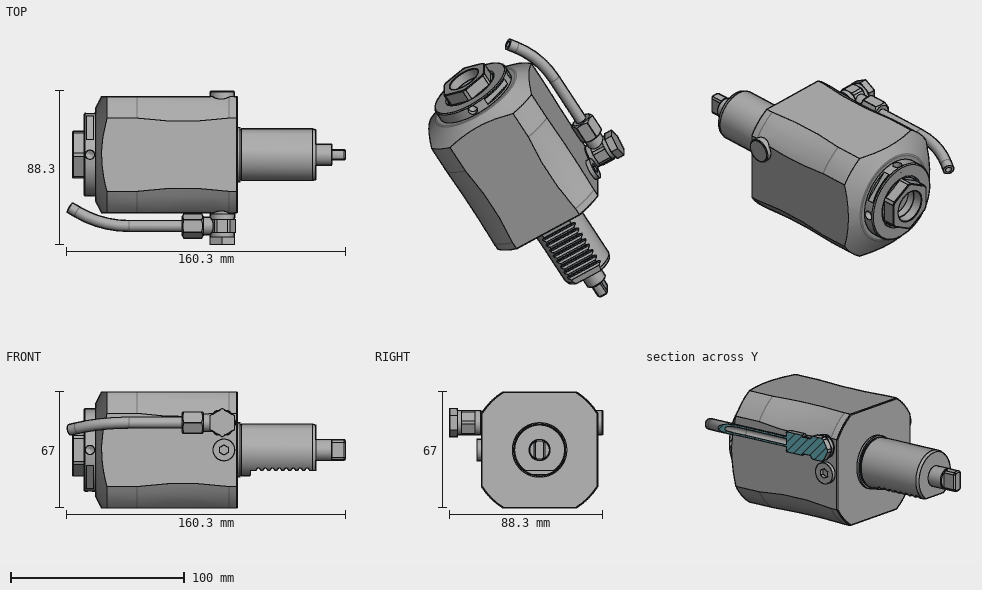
import cadquery as cq
import math


block_side = 67.0
block_front_x = -81.8
nose_radius = 26.8
nose_fillet = 2.1
corner_radius = 39.6
waist_radius = 38.6
cone_end_x = -75.2
waist_start_x = -57.9
waist_end_x = -4.8
rear_chamfer = 0.5

collar_radius = 15.7
collar_end_x = 1.5
undercut_radius = 14.6
undercut_end_x = 2.4
shank_radius = 30.0 / 2
shank_end_x = 45.0
shank_chamfer_length = 2.0
shank_chamfer_depth = 0.6

rack_flat_z = -11.9
rack_flat_start_x = 7.5
rack_step_chamfer = 0.8
tooth_count = 8
tooth_pitch = 4.0
first_groove_x = 12.0
groove_top_width = 3.0
groove_floor_width = 0.8
groove_depth = 1.5

half_side = block_side / 2
port_x = -8.8
port_z = 15.7
port_radius = 7.0
port_root_y = 27.3
rear_plug_y = 36.5
rear_plug_chamfer = 0.5
socket_plug_x = -7.9
socket_plug_radius = 6.3
socket_plug_height = 2.5
socket_corner_radius = 2.9
socket_depth = 2.4

stem_root_radius = 6.5
stem_shoulder_y = -34.2
banjo_near_y = -37.2
banjo_far_y = -44.9
banjo_flat_radius = 7.0
banjo_corner_radius = 7.7
bolt_head_near_y = -47.3
bolt_head_far_y = -51.8
bolt_head_corner_radius = 8.2

pipe_y = (banjo_near_y + banjo_far_y) / 2
neck_radius = 5.1
pipe_nut_start_x = -31.9
pipe_nut_end_x = -19.7
pipe_nut_flat_radius = 12.3 / 2
pipe_nut_round_radius = 7.0
pipe_nut_chamfer_length = 1.0
pipe_nut_face_radius = 5.5
pipe_radius = 3.2
pipe_bore_radius = 1.8
pipe_bend_x = -62.5
pipe_bend_radius = 55.2
pipe_bend_angle = 32.5
pipe_tilt = 21.0
pipe_front_x = -98.1

flange_front_x = -88.3
flange_radius = 23.9
flange_chamfer = 0.6
recess_radius = 16.2
recess_depth = 2.4
pin_hole_radius = 5.3 / 2
pin_hole_depth = 4.0
pin_hole_tip_depth = 1.6
pin_hole_x = -85.0
flat_front_x = -86.9
flat_back_x = -83.0
flat_distance = 22.0
hex_front_x = -95.0
hex_shoulder_x = -87.9
hex_flat_radius = 27.1 / 2
hex_round_radius = 15.0
hex_chamfer = 0.5
bore_radius = 9.5
bore_chamfer = 0.3
bore_step_depth = 6.0
bore_inner_radius = 9.1
bore_depth = 10.5
shaft_radius = 6.1
shaft_end_x = 54.5
tang_end_x = 62.2
tang_thickness = 6.3
tang_chamfer = 0.8
shaft_chamfer = 0.5


def x_rod(start_x, end_x, radius, y=0.0, z=0.0):
    """Round rod along X."""
    return cq.Workplane("YZ", origin=(start_x, y, z)).circle(radius).extrude(end_x - start_x)


def y_rod(start_y, end_y, radius, x, z):
    """Round rod along Y."""
    return cq.Workplane("XZ", origin=(x, start_y, z)).circle(radius).extrude(start_y - end_y)


def hexagon(flat_radius, first_angle):
    """Corner points of a hexagon; first_angle is the direction of one corner."""
    corner = flat_radius / math.cos(math.pi / 6)
    angles = [math.radians(first_angle + 60 * i) for i in range(6)]
    return [(corner * math.cos(a), corner * math.sin(a)) for a in angles]


def x_hex(start_x, end_x, flat_radius, first_angle, y=0.0, z=0.0):
    """Hexagonal bar along X."""
    plane = cq.Workplane("YZ", origin=(start_x, y, z))
    return plane.polyline(hexagon(flat_radius, first_angle)).close().extrude(end_x - start_x)


def y_hex(start_y, end_y, flat_radius, first_angle, x, z):
    """Hexagonal bar along Y, extruded toward -Y."""
    plane = cq.Workplane("XZ", origin=(x, start_y, z))
    return plane.polyline(hexagon(flat_radius, first_angle)).close().extrude(start_y - end_y)


def make_block():
    """Square block with round, slightly waisted corners and a conical nose."""
    turned = (
        cq.Workplane("XY")
        .moveTo(block_front_x, 0)
        .lineTo(block_front_x, nose_radius)
        .lineTo(cone_end_x, corner_radius)
        .lineTo(waist_start_x, corner_radius)
        .threePointArc(((waist_start_x + waist_end_x) / 2, waist_radius), (waist_end_x, corner_radius))
        .lineTo(0, corner_radius)
        .lineTo(0, 0)
        .close()
        .revolve(360, (0, 0, 0), (1, 0, 0))
        .faces("<X")
        .edges()
        .fillet(nose_fillet)
    )
    square = cq.Workplane("YZ", origin=(block_front_x, 0, 0)).rect(block_side, block_side)
    return turned.intersect(square.extrude(-block_front_x)).faces(">X").chamfer(rear_chamfer)


def make_shank():
    """Clamping shank with a collar, an undercut and a toothed flat below."""
    shank = (
        cq.Workplane("XY")
        .moveTo(0, 0)
        .lineTo(0, collar_radius)
        .lineTo(collar_end_x, collar_radius)
        .lineTo(collar_end_x, undercut_radius)
        .lineTo(undercut_end_x, undercut_radius)
        .lineTo(undercut_end_x, shank_radius)
        .lineTo(shank_end_x - shank_chamfer_length, shank_radius)
        .lineTo(shank_end_x, shank_radius - shank_chamfer_depth)
        .lineTo(shank_end_x, 0)
        .close()
        .revolve(360, (0, 0, 0), (1, 0, 0))
    )
    chamfer_z = -shank_radius + rack_step_chamfer
    flat = (
        cq.Workplane("XZ")
        .moveTo(rack_flat_start_x, rack_flat_z)
        .lineTo(rack_flat_start_x, chamfer_z)
        .lineTo(rack_flat_start_x - rack_step_chamfer, -shank_radius)
        .lineTo(shank_end_x, -shank_radius)
        .lineTo(shank_end_x, rack_flat_z)
        .close()
        .extrude(shank_radius, both=True)
    )
    shank = shank.cut(flat)
    for i in range(tooth_count):
        groove = (
            cq.Workplane("XZ", origin=(first_groove_x + i * tooth_pitch, 0, rack_flat_z))
            .moveTo(-groove_top_width / 2, 0)
            .lineTo(-groove_floor_width / 2, groove_depth)
            .lineTo(groove_floor_width / 2, groove_depth)
            .lineTo(groove_top_width / 2, 0)
            .close()
            .extrude(shank_radius, both=True)
        )
        shank = shank.cut(groove)
    return shank


def make_rear_plug():
    """Round plug closing the port on the +Y side."""
    return y_rod(rear_plug_y, port_root_y, port_radius, port_x, port_z).faces(">Y").chamfer(rear_plug_chamfer)


def make_socket_plug():
    """Round plug with a hexagon socket on the -Y side."""
    outer_y = -half_side - socket_plug_height
    plug = y_rod(-port_root_y, outer_y, socket_plug_radius, socket_plug_x, 0)
    socket_flat_radius = socket_corner_radius * math.cos(math.pi / 6)
    socket = y_hex(outer_y + socket_depth, outer_y, socket_flat_radius, 90, socket_plug_x, 0)
    return plug.cut(socket)


def make_banjo():
    """Banjo fitting: stepped round stem, hexagonal body with rounded corners, and bolt head."""
    root = y_rod(-port_root_y, stem_shoulder_y, stem_root_radius, port_x, port_z)
    stem = root.union(y_rod(stem_shoulder_y, bolt_head_near_y, port_radius, port_x, port_z))
    body = y_hex(banjo_near_y, banjo_far_y, banjo_flat_radius, 0, port_x, port_z)
    body = body.intersect(y_rod(banjo_near_y, banjo_far_y, banjo_corner_radius, port_x, port_z))
    head_flat_radius = bolt_head_corner_radius * math.cos(math.pi / 6)
    head = y_hex(bolt_head_near_y, bolt_head_far_y, head_flat_radius, 90, port_x, port_z)
    return stem.union(body).union(head)


def make_pipe_nut():
    """Union nut and the neck that joins it to the banjo fitting."""
    nut = x_hex(pipe_nut_start_x, pipe_nut_end_x, pipe_nut_flat_radius, 0, pipe_y, port_z)
    rounding = (
        cq.Workplane("XY", origin=(0, pipe_y, port_z))
        .moveTo(pipe_nut_start_x, 0)
        .lineTo(pipe_nut_start_x, pipe_nut_face_radius)
        .lineTo(pipe_nut_start_x + pipe_nut_chamfer_length, pipe_nut_round_radius)
        .lineTo(pipe_nut_end_x - pipe_nut_chamfer_length, pipe_nut_round_radius)
        .lineTo(pipe_nut_end_x, pipe_nut_face_radius)
        .lineTo(pipe_nut_end_x, 0)
        .close()
        .revolve(360, (0, 0, 0), (1, 0, 0))
    )
    nut = nut.intersect(rounding)
    return nut.union(x_rod(pipe_nut_end_x, port_x, neck_radius, pipe_y, port_z))


def sweep_pipe(radius):
    """Round bar from the union nut along the straight, bent and tip stretches of the pipe."""
    tilt = math.radians(pipe_tilt)
    bend_plane = cq.Plane(
        origin=(pipe_bend_x, pipe_y, port_z),
        xDir=(-1, 0, 0),
        normal=(0, math.sin(tilt), math.cos(tilt)),
    )

    def bend_point(angle):
        return (
            pipe_bend_radius * math.sin(angle),
            -pipe_bend_radius * (1 - math.cos(angle)),
        )

    turn = math.radians(pipe_bend_angle)
    bend_end = bend_point(turn)
    tip_reach = pipe_bend_x - pipe_front_x - pipe_radius * math.sin(turn)
    tip_drop = (tip_reach - bend_end[0]) * math.tan(turn)
    tip = (tip_reach, bend_end[1] - tip_drop)
    path = (
        cq.Workplane(bend_plane)
        .moveTo(pipe_bend_x - pipe_nut_start_x, 0)
        .lineTo(0, 0)
        .threePointArc(bend_point(turn / 2), bend_end)
        .lineTo(*tip)
    )
    return cq.Workplane("YZ", origin=(pipe_nut_start_x, pipe_y, port_z)).circle(radius).sweep(path)


def make_housing():
    housing = make_block().union(make_shank())
    housing = housing.union(make_rear_plug()).union(make_socket_plug())
    housing = housing.union(make_banjo()).union(make_pipe_nut())
    housing = housing.union(sweep_pipe(pipe_radius)).cut(sweep_pipe(pipe_bore_radius))
    return housing.cut(x_rod(block_front_x, shank_end_x, shaft_radius))


def make_flange():
    """Spindle flange with a front recess, radial drilled pin holes and two spanner flats."""
    flange = x_rod(flange_front_x, block_front_x, flange_radius).faces("<X").chamfer(flange_chamfer)
    flange = flange.cut(x_rod(flange_front_x, flange_front_x + recess_depth, recess_radius))
    pin_hole = (
        cq.Workplane("XZ", origin=(pin_hole_x, 0, flange_radius))
        .moveTo(0, 0)
        .lineTo(pin_hole_radius, 0)
        .lineTo(pin_hole_radius, -pin_hole_depth)
        .lineTo(0, -pin_hole_depth - pin_hole_tip_depth)
        .close()
        .revolve(360, (0, 0, 0), (0, 1, 0))
    )
    for angle in (0, 90, 180, 270):
        flange = flange.cut(pin_hole.rotate((0, 0, 0), (1, 0, 0), angle))
    spanner_flat = cq.Workplane("XY").box(
        flat_back_x - flat_front_x, 2 * flange_radius, flange_radius, centered=(False, True, False)
    ).translate((flat_front_x, 0, flat_distance))
    for angle in (-45, 135):
        flange = flange.cut(spanner_flat.rotate((0, 0, 0), (1, 0, 0), angle))
    return flange


def make_clamping_hex():
    """Front hexagon milled on a round bar, which continues as a collar in the flange recess."""
    bar = x_hex(hex_front_x, hex_shoulder_x, hex_flat_radius, 90)
    rounding = x_rod(hex_front_x, hex_shoulder_x, hex_round_radius)
    hex_end = bar.intersect(rounding).faces("<X").chamfer(hex_chamfer)
    return hex_end.union(x_rod(hex_shoulder_x, flange_front_x + recess_depth, hex_round_radius))


def make_drive_end():
    """Shaft through the housing, ending in a flat drive tang."""
    shaft = x_rod(block_front_x, shaft_end_x, shaft_radius).faces(">X").chamfer(shaft_chamfer)
    tang = x_rod(shaft_end_x, tang_end_x, shaft_radius)
    slab = cq.Workplane("XY").box(
        tang_end_x - shaft_end_x, tang_thickness, 2 * shaft_radius, centered=(False, True, True)
    ).translate((shaft_end_x, 0, 0))
    tang = tang.intersect(slab).faces("<Y or >Y").edges("|X").chamfer(tang_chamfer)
    return shaft.union(tang.faces(">X").chamfer(tang_chamfer))


def make_bore():
    """Stepped blind bore in the front hexagon, with a chamfered mouth."""
    step_x = hex_front_x + bore_step_depth
    bottom_x = hex_front_x + bore_depth
    return (
        cq.Workplane("XY")
        .moveTo(hex_front_x, 0)
        .lineTo(hex_front_x, bore_radius + bore_chamfer)
        .lineTo(hex_front_x + bore_chamfer, bore_radius)
        .lineTo(step_x, bore_radius)
        .lineTo(step_x, bore_inner_radius)
        .lineTo(bottom_x, bore_inner_radius)
        .lineTo(bottom_x, 0)
        .close()
        .revolve(360, (0, 0, 0), (1, 0, 0))
    )


def make_spindle():
    spindle = make_flange().union(make_clamping_hex()).union(make_drive_end())
    return spindle.cut(make_bore())


housing = make_housing()
spindle = make_spindle()
result = cq.Compound.makeCompound([housing.val(), spindle.val()])